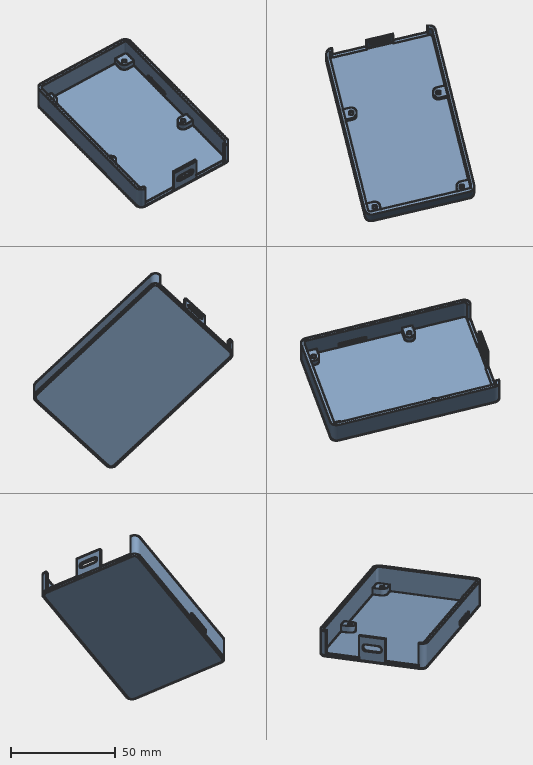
import cadquery as cq

length = 84.75
width = 54.0
height = 13.5
end_wall = 1.7
side_wall = 1.5
floor_thickness = 1.5
outer_corner_radius = 3.1
inner_corner_radius = 1.2
bottom_chamfer = 0.85

opening_width = 47.0
sill_height = 1.35
plate_width = 13.1
plate_thickness = 1.1
plate_foot_thickness = 1.35
plate_foot_height = 1.9
plate_slot_length = 9.7
plate_slot_height = 3.6
plate_slot_z = 7.6

side_slot_length = 14.0
side_slot_height = 1.9
side_slot_x = -16.2
side_slot_z = 3.6

boss_radius = 2.6
boss_height = 3.4
boss_hole_diameter = 2.1
corner_boss_x = -36.9
middle_boss_x = 11.1
boss_y = 21.5

inner_length = length - 2 * end_wall
inner_width = width - 2 * side_wall
inner_end_x = inner_length / 2
inner_side_y = inner_width / 2
boss_top = floor_thickness + boss_height


def box_between(x_range, y_range, z_range):
    """Axis-aligned box given by its limits along each axis."""
    (x0, x1), (y0, y1), (z0, z1) = x_range, y_range, z_range
    return cq.Workplane("XY").box(x1 - x0, y1 - y0, z1 - z0, centered=False).translate((x0, y0, z0))


def cavity(bottom):
    """Rounded inner volume of the tray, from the given level to the rim."""
    return (
        cq.Workplane("XY", origin=(0, 0, bottom))
        .rect(inner_length, inner_width)
        .extrude(height - bottom)
        .edges("|Z")
        .fillet(inner_corner_radius)
    )


def tray():
    """Open box with rounded corners and a chamfered underside."""
    outer = cq.Workplane("XY").rect(length, width).extrude(height)
    outer = outer.edges("|Z").fillet(outer_corner_radius)
    outer = outer.faces("<Z").edges().chamfer(bottom_chamfer)
    return outer.cut(cavity(floor_thickness))


def end_opening():
    """Material removed from the +X wall, leaving only the sill."""
    half_width = opening_width / 2
    return box_between((inner_end_x, length / 2), (-half_width, half_width), (sill_height, height))


def end_plate():
    """Slotted upright plate flush with the +X face, with a thicker foot."""
    y_range = (-plate_width / 2, plate_width / 2)
    end_x = length / 2
    plate = box_between((end_x - plate_thickness, end_x), y_range, (sill_height, height))
    foot = box_between((end_x - plate_foot_thickness, end_x), y_range, (sill_height, plate_foot_height))
    floor_strip = box_between((inner_end_x, end_x), y_range, (sill_height, floor_thickness))
    slot = (
        cq.Workplane("YZ", origin=(inner_end_x, 0, plate_slot_z))
        .slot2D(plate_slot_length, plate_slot_height)
        .extrude(end_wall)
    )
    return plate.union(foot).union(floor_strip).cut(slot)


def side_slot():
    """Round-ended cutter through the +Y wall."""
    return (
        cq.Workplane("XZ", origin=(side_slot_x, width / 2, side_slot_z))
        .slot2D(side_slot_length, side_slot_height)
        .extrude(side_wall)
    )


def boss(x, side, in_corner):
    """Round-nosed boss joined to a side wall, and to the -X wall when in a corner."""
    z_range = (floor_thickness, boss_top)
    y = side * boss_y
    wall_y = side * inner_side_y
    body = cq.Workplane("XY", origin=(x, y, floor_thickness)).circle(boss_radius).extrude(boss_height)
    body = body.union(box_between((x - boss_radius, x + boss_radius), sorted((y, wall_y)), z_range))
    if in_corner:
        y_range = sorted((y - side * boss_radius, wall_y))
        body = body.union(box_between((-inner_end_x, x), y_range, z_range))
    hole = cq.Workplane("XY", origin=(x, y, floor_thickness)).circle(boss_hole_diameter / 2).extrude(boss_height)
    return body.cut(hole).intersect(cavity(floor_thickness))


result = tray().cut(end_opening()).union(end_plate()).cut(side_slot())
for side in (-1, 1):
    result = result.union(boss(corner_boss_x, side, True))
    result = result.union(boss(middle_boss_x, side, False))